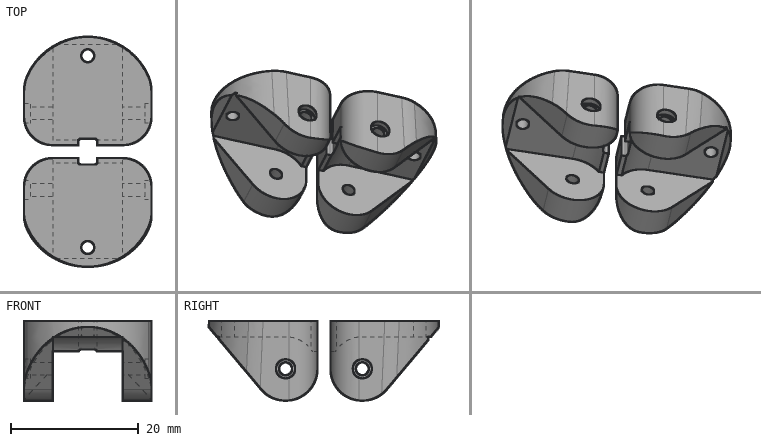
import cadquery as cq
import math

total_length = 36.07
width = 20.0
gap = 2.0
half_width = width / 2
inner_y = gap / 2

hinge_radius = 5.0
hinge_y = inner_y + hinge_radius
hinge_z = -7.5
bottom_z = hinge_z - hinge_radius
pin_hole_diameter = 2.0
counterbore_diameter = 3.0
counterbore_depth = 1.0

corner_radius = 4.5
end_radius = 10.4
shoulder_radius = 5.63
lean = math.radians(2.5)

slope_angle = math.radians(50)
slope_normal_y = math.sin(slope_angle)
slope_normal_z = -math.cos(slope_angle)
tangent_y = hinge_y + hinge_radius * slope_normal_y
tangent_z = hinge_z + hinge_radius * slope_normal_z

rim_depth = -(tangent_z + (total_length / 2 - tangent_y) * math.tan(slope_angle))
end_reach = (total_length - rim_depth * math.tan(lean)) / 2

channel_width = 10.9
channel_roof_z = hinge_z + hinge_radius
lip_z = -4.75

notch_width = 2.95
notch_depth = 1.0
notch_fillet = 0.4
plate_hole_y = 15.0
plate_hole_diameter = 2.0

margin = 1.8


def outline_wire(z, end_shift):
    """Closed plan outline at height z, with its rounded end moved outward by end_shift."""
    end_center_y = end_reach - end_radius + end_shift
    shoulder_x = half_width - shoulder_radius
    center_distance = end_radius - shoulder_radius
    shoulder_y = end_center_y + math.sqrt(center_distance**2 - shoulder_x**2)
    join_angle = math.asin((shoulder_y - end_center_y) / center_distance)

    join_x = end_radius * math.cos(join_angle)
    join_y = end_center_y + end_radius * math.sin(join_angle)
    shoulder_mid_x = shoulder_x + shoulder_radius * math.cos(join_angle / 2)
    shoulder_mid_y = shoulder_y + shoulder_radius * math.sin(join_angle / 2)
    straight_x = half_width - corner_radius
    corner_y = inner_y + corner_radius
    corner_mid_x = straight_x + corner_radius * math.sqrt(0.5)
    corner_mid_y = corner_y - corner_radius * math.sqrt(0.5)

    outline = (
        cq.Workplane("XY", origin=(0, 0, z))
        .moveTo(-straight_x, inner_y)
        .lineTo(straight_x, inner_y)
        .threePointArc((corner_mid_x, corner_mid_y), (half_width, corner_y))
        .lineTo(half_width, shoulder_y)
        .threePointArc((shoulder_mid_x, shoulder_mid_y), (join_x, join_y))
        .threePointArc((0, end_reach + end_shift), (-join_x, join_y))
        .threePointArc((-shoulder_mid_x, shoulder_mid_y), (-half_width, shoulder_y))
        .lineTo(-half_width, corner_y)
        .threePointArc((-corner_mid_x, corner_mid_y), (-straight_x, inner_y))
        .close()
    )
    return outline.val()


def leaning_block(lean_sign):
    """Full-height block; lean_sign is +1 to grow toward the bottom, -1 to shrink."""
    shift = -lean_sign * bottom_z * math.tan(lean)
    return cq.Workplane(cq.Solid.makeLoft([outline_wire(0, 0), outline_wire(bottom_z, shift)], True))


def side_profile():
    """Side shape: flat top, sloping underside and round hinge barrel, extruded along X."""
    slope_top_y = tangent_y - tangent_z / math.tan(slope_angle)
    return (
        cq.Workplane("YZ")
        .moveTo(inner_y, 0)
        .lineTo(inner_y, hinge_z)
        .threePointArc((hinge_y, bottom_z), (tangent_y, tangent_z))
        .lineTo(slope_top_y, 0)
        .close()
        .extrude(half_width + margin, both=True)
    )


def leg_channel():
    """Channel between the legs: a flat roof that curves down around the hinge axis to the lip."""
    lip_angle = math.asin((lip_z - hinge_z) / hinge_radius)
    mid_angle = (lip_angle + math.pi / 2) / 2
    lip_y = hinge_y - hinge_radius * math.cos(lip_angle)
    mid_y = hinge_y - hinge_radius * math.cos(mid_angle)
    mid_z = hinge_z + hinge_radius * math.sin(mid_angle)
    far_y = end_reach + margin
    return (
        cq.Workplane("YZ")
        .moveTo(inner_y - margin, lip_z)
        .lineTo(lip_y, lip_z)
        .threePointArc((mid_y, mid_z), (hinge_y, channel_roof_z))
        .lineTo(far_y, channel_roof_z)
        .lineTo(far_y, bottom_z - margin)
        .lineTo(inner_y - margin, bottom_z - margin)
        .close()
        .extrude(channel_width / 2, both=True)
    )


def edge_notch():
    """Notch through the inner edge, with its two inside corners rounded."""
    return (
        cq.Workplane("XY")
        .rect(notch_width, 2 * (inner_y + notch_depth))
        .extrude(bottom_z)
        .edges("|Z")
        .fillet(notch_fillet)
    )


def hinge_holes():
    """Pin hole through both legs, counterbored from each outer side."""
    hinge_plane = cq.Workplane("YZ").center(hinge_y, hinge_z)
    holes = hinge_plane.circle(pin_hole_diameter / 2).extrude(half_width + margin, both=True)
    for side in (-1, 1):
        counterbore = (
            cq.Workplane("YZ", origin=(side * (half_width - counterbore_depth), hinge_y, hinge_z))
            .circle(counterbore_diameter / 2)
            .extrude(side * (counterbore_depth + margin))
        )
        holes = holes.union(counterbore)
    return holes


def plate_hole():
    """Vertical hole near the rounded end."""
    return (
        cq.Workplane("XY")
        .center(0, plate_hole_y)
        .circle(plate_hole_diameter / 2)
        .extrude(bottom_z)
    )


def hinge_block(lean_sign):
    """One complete hinge body on the +Y side."""
    return (
        leaning_block(lean_sign)
        .intersect(side_profile())
        .cut(leg_channel())
        .cut(edge_notch())
        .cut(hinge_holes())
        .cut(plate_hole())
    )


rear_block = hinge_block(-1)
front_block = hinge_block(1).mirror("XZ")

result = cq.Compound.makeCompound([rear_block.val(), front_block.val()])